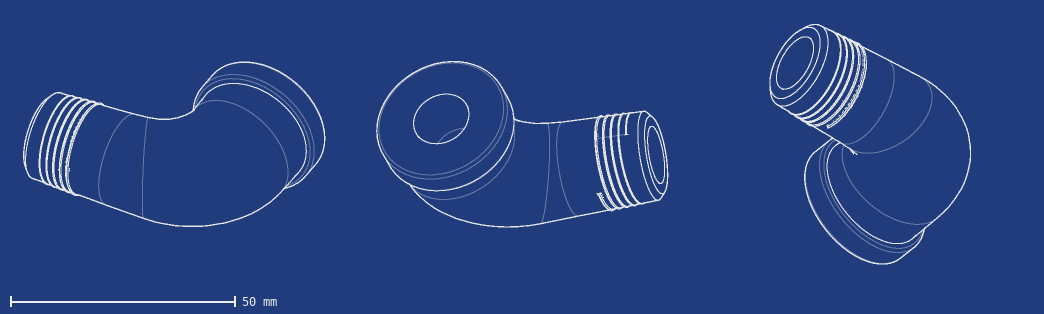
import cadquery as cq
import math


inlet_x = -41.4
spigot_length = 19.95
face_radius = 8.8
chamfer_length = 1.2
spigot_radius = 10.1
taper_slope = 1 / 32
spigot_end_x = inlet_x + spigot_length
spigot_end_radius = spigot_radius + taper_slope * (spigot_length - chamfer_length)

outlet_y = 28.45
collar_radius = 15.25
collar_length = 6.3
collar_fillet = 0.7
collar_start_y = outlet_y - collar_length
neck_radius = 13.6
neck_half_height = 13.25

outer_bend_radius = 24.1
outer_bend_x = neck_radius - outer_bend_radius
outer_bend_y = outer_bend_radius - spigot_end_radius
inner_bend_radius = 6.25
inner_bend_x = -neck_radius - inner_bend_radius
inner_bend_y = spigot_end_radius + inner_bend_radius
bend_steps = 6
bend_start_half_height = 11.1
bend_end_half_height = 12.75

bore_radius = 6.45
bore_bend_radius = 13.6

thread_pitch = 1.75
thread_turns = 4.8
thread_start = 3.9
thread_width = 0.5
thread_depth = 0.3
first_crest_height = 0.1
last_crest_height = 0.3


def make_spigot():
    profile = [
        (inlet_x, 0),
        (inlet_x, face_radius),
        (inlet_x + chamfer_length, spigot_radius),
        (spigot_end_x, spigot_end_radius),
        (spigot_end_x, 0),
    ]
    return cq.Workplane("XY").polyline(profile).close().revolve(360, (0, 0, 0), (1, 0, 0))


def bend_section(step):
    """Elliptical wire that spans the inner and outer walls at one step of the bend."""
    turned = step / bend_steps
    angle = math.radians(90 * turned)
    inner = cq.Vector(
        inner_bend_x + inner_bend_radius * math.sin(angle),
        inner_bend_y - inner_bend_radius * math.cos(angle),
    )
    outer = cq.Vector(
        outer_bend_x + outer_bend_radius * math.sin(angle),
        outer_bend_y - outer_bend_radius * math.cos(angle),
    )
    across = inner - outer
    half_height = bend_start_half_height + (bend_end_half_height - bend_start_half_height) * turned
    normal = across.cross(cq.Vector(0, 0, 1))
    plane = cq.Plane((inner + outer) / 2, across, normal)
    return cq.Workplane(plane).ellipse(across.Length / 2, half_height).wires().val()


def make_bend():
    start_plane = cq.Plane((spigot_end_x, 0, 0), (0, 1, 0), (1, 0, 0))
    end_plane = cq.Plane((0, collar_start_y, 0), (-1, 0, 0), (0, 1, 0))
    start = cq.Workplane(start_plane).ellipse(spigot_end_radius, spigot_end_radius).wires().val()
    end = cq.Workplane(end_plane).ellipse(neck_radius, neck_half_height).wires().val()
    curve = [bend_section(step) for step in range(bend_steps + 1)]
    entry = cq.Workplane(obj=cq.Solid.makeLoft([start, curve[0]]))
    elbow_curve = cq.Workplane(obj=cq.Solid.makeLoft(curve))
    exit_neck = cq.Workplane(obj=cq.Solid.makeLoft([curve[-1], end]))
    return entry.union(elbow_curve).union(exit_neck)


def make_collar():
    collar = cq.Workplane("XZ", origin=(0, outlet_y, 0)).circle(collar_radius).extrude(collar_length)
    return collar.edges().fillet(collar_fillet)


def make_bore():
    path = (
        cq.Workplane("XY")
        .moveTo(inlet_x, 0)
        .lineTo(-bore_bend_radius, 0)
        .radiusArc((0, bore_bend_radius), -bore_bend_radius)
        .lineTo(0, outlet_y)
    )
    return cq.Workplane("YZ", origin=(inlet_x, 0, 0)).circle(bore_radius).sweep(path)


def make_thread():
    """Triangular right-hand ridge, built along Z and then turned so that its axis lies on X."""
    height = thread_pitch * thread_turns
    rise = last_crest_height - first_crest_height + taper_slope * height
    cone_angle = math.degrees(math.atan(rise / height))
    surface_radius = spigot_radius + taper_slope * (thread_start - chamfer_length)
    crest_radius = surface_radius + first_crest_height
    root_radius = crest_radius - last_crest_height - thread_depth
    helix = cq.Wire.makeHelix(thread_pitch, height, crest_radius, angle=cone_angle)
    profile = [
        (root_radius, -thread_width),
        (crest_radius, 0),
        (root_radius, thread_width),
    ]
    ridge = cq.Workplane("XZ").polyline(profile).close().sweep(cq.Workplane(obj=helix), isFrenet=True)
    return ridge.rotate((0, 0, 0), (1, 1, 1), 120).translate((inlet_x + thread_start, 0, 0))


thread = make_thread()
elbow = make_spigot().union(make_bend()).union(make_collar()).cut(make_bore()).cut(thread)

result = cq.Compound.makeCompound([elbow.solids().val(), thread.val()])